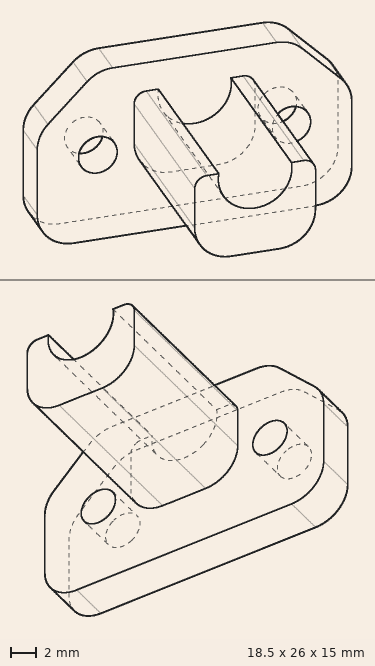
import cadquery as cq

plate_thickness = 3.5
plate_width = 26.0
plate_height = 15.0
plate_chamfer = 5.0
plate_radius = 3.0
hole_diameter = 3.2
hole_spacing = 16.0

total_length = 18.5
arm_width = 9.98
arm_height = 7.5
arm_top = arm_width / 2
arm_bottom_radius = 3.0
arm_top_radius = 1.0
groove_radius = 3.05
groove_center_depth = 0.5

arm_length = total_length - plate_thickness


def make_plate():
    """Rounded plate with chamfered top corners and two through holes."""
    plate = cq.Workplane("YZ").rect(plate_width, plate_height).extrude(plate_thickness)
    plate = plate.edges("|X and >Z").chamfer(plate_chamfer)
    plate = plate.edges("|X").fillet(plate_radius)
    holes = (
        cq.Workplane("YZ")
        .pushPoints([(-hole_spacing / 2, 0), (hole_spacing / 2, 0)])
        .circle(hole_diameter / 2)
        .extrude(plate_thickness)
    )
    return plate.cut(holes)


def make_arm():
    """Rounded bar with a round groove along its top."""
    back_face = cq.Workplane("YZ", origin=(plate_thickness, 0, 0))
    arm = (
        back_face.center(0, arm_top - arm_height / 2)
        .rect(arm_width, arm_height)
        .extrude(arm_length)
    )
    arm = arm.edges("|X and <Z").fillet(arm_bottom_radius)
    arm = arm.edges("|X and >Z").fillet(arm_top_radius)
    groove_center_z = arm_top - groove_center_depth
    groove = (
        cq.Workplane("YZ", origin=(plate_thickness, 0, groove_center_z))
        .circle(groove_radius)
        .extrude(arm_length)
    )
    return arm.cut(groove)


result = make_plate().union(make_arm())